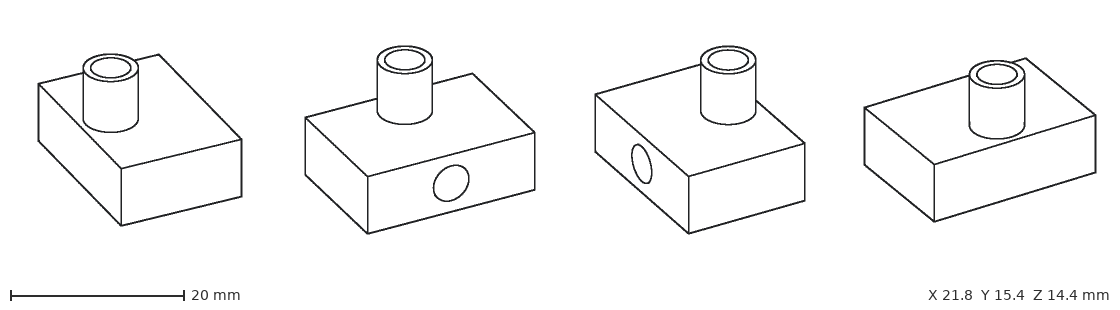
import cadquery as cq

length = 21.82
width = 15.45
block_height = 7.64
total_height = 14.4

tube_diameter = 6.37
bore_diameter = 4.63
tube_front_offset = 3.97

bore_radius = bore_diameter / 2
tube_y = tube_front_offset - width / 2
elbow_z = block_height / 2


def make_body():
    """Block resting on Z = 0 with the tube standing on its top face."""
    block = cq.Workplane("XY").box(length, width, block_height, centered=(True, True, False))
    tube = (
        cq.Workplane("XY")
        .center(0, tube_y)
        .circle(tube_diameter / 2)
        .extrude(total_height)
    )
    return block.union(tube)


def make_passage():
    """Bore running down the tube, round a ball-shaped elbow and out of the back face."""
    elbow_center = (0, tube_y, elbow_z)
    down_bore = cq.Workplane("XY", origin=elbow_center).circle(bore_radius).extrude(total_height - elbow_z)
    back_bore = cq.Workplane("XZ", origin=elbow_center).circle(bore_radius).extrude(-(width / 2 - tube_y))
    elbow = cq.Workplane("XY", origin=elbow_center).sphere(bore_radius)
    return down_bore.union(back_bore).union(elbow)


result = make_body().cut(make_passage())